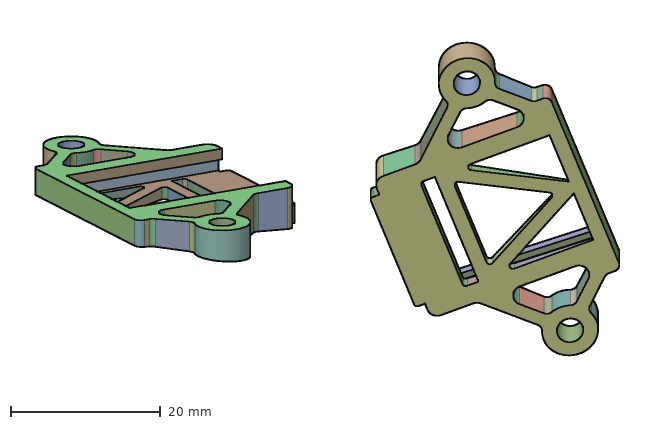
import cadquery as cq
import math

half_width = 23.75
total_length = 27.4
rear_depth = 6.0
front_depth = 3.7
floor_depth = 3.32
lip_thickness = 1.5

rail_half_width = 11.25
rail_end = 26.05
rail_corner_radius = 1.42
base_half_width = 13.95
base_corner_radius = 0.95
base_shoulder_radius = 1.0
rail_shoulder_radius = 1.42

ear_x = 20.0
ear_y = 9.5
ear_radius = half_width - ear_x
ear_hole_radius = 1.75
arm_reach = 21.3
arm_width = 1.9
arm_blend_radius = 1.0
window_corner_radius = 1.42

tray_half_width = 8.35
groove_half_width = 9.3
tongue_half_width = 8.85
wall_thickness = 2.0
tongue_corner_radius = 0.48

opening_half_width = 8.45
opening_corner_radius = 0.48
slot_start = 18.3
slot_end = 20.4
triangle_top = 16.3
triangle_tip = 4.25
strut_width = 1.95
strut_slope = math.tan(math.radians(60))


def prism(points, bottom=-rear_depth, top=0.0):
    """Upright prism over a closed polygon."""
    return cq.Workplane("XY").workplane(offset=bottom).polyline(points).close().extrude(top - bottom)


def block(half_span, y_start, y_end, bottom=-rear_depth, top=0.0):
    """Box centred on X = 0."""
    return prism(
        [(-half_span, y_start), (half_span, y_start), (half_span, y_end), (-half_span, y_end)],
        bottom,
        top,
    )


def round_uprights(solid, radius, places):
    """Fillet the vertical edges that stand at the given (x, y) places."""
    for x, y in places:
        edge = cq.selectors.NearestToPointSelector((x, y, -rear_depth / 2))
        solid = solid.edges("|Z").edges(edge).fillet(radius)
    return solid


def both_sides(x, y):
    return [(-x, y), (x, y)]


def circle_crossing(reach):
    """Point (x, offset from ear_y) where the line x + offset = reach meets the inboard ear circle."""
    half_gap = (reach - ear_x) / 2
    along = math.sqrt(ear_radius**2 / 2 - half_gap**2)
    return ear_x + half_gap - along, half_gap + along


def make_frame():
    arm_rise = arm_reach - rail_half_width
    base_shoulder_y = ear_y - (arm_reach - base_half_width)
    rail_shoulder_y = ear_y + arm_rise
    right_side = [
        (base_half_width, 0),
        (base_half_width, base_shoulder_y),
        (arm_reach, ear_y),
        (rail_half_width, rail_shoulder_y),
        (rail_half_width, rail_end),
    ]
    left_side = [(-x, y) for x, y in reversed(right_side)]
    frame = prism(right_side + left_side)
    frame = round_uprights(frame, base_corner_radius, both_sides(base_half_width, 0))
    frame = round_uprights(frame, base_shoulder_radius, both_sides(base_half_width, base_shoulder_y))
    frame = round_uprights(frame, rail_shoulder_radius, both_sides(rail_half_width, rail_shoulder_y))
    frame = round_uprights(frame, rail_corner_radius, both_sides(rail_half_width, rail_end))

    ears = (
        cq.Workplane("XY")
        .pushPoints(both_sides(ear_x, ear_y))
        .circle(ear_radius)
        .extrude(-rear_depth)
    )
    frame = frame.union(ears)
    blend_x, blend_rise = circle_crossing(arm_reach)
    for y in (ear_y - blend_rise, ear_y + blend_rise):
        frame = round_uprights(frame, arm_blend_radius, both_sides(blend_x, y))
    return frame


def make_arm_windows():
    """Openings bounded by the rails, the arms and the ears."""
    window_reach = arm_reach - arm_width * math.sqrt(2)
    rise = window_reach - rail_half_width
    tip_x, tip_rise = circle_crossing(window_reach)
    windows = cq.Workplane("XY")
    for side in (-1, 1):
        window = prism(
            [
                (side * rail_half_width, ear_y - rise),
                (side * window_reach, ear_y),
                (side * rail_half_width, ear_y + rise),
            ]
        )
        ear = cq.Workplane("XY").center(side * ear_x, ear_y).circle(ear_radius).extrude(-rear_depth)
        window = window.cut(ear)
        for direction in (-1, 1):
            corner = (side * rail_half_width, ear_y + direction * rise)
            tip = (side * tip_x, ear_y + direction * tip_rise)
            window = round_uprights(window, window_corner_radius, [corner])
            window = round_uprights(window, arm_blend_radius, [tip])
        windows = windows.add(window)
    return windows.combine()


def make_ear_holes():
    return (
        cq.Workplane("XY")
        .pushPoints(both_sides(ear_x, ear_y))
        .circle(ear_hole_radius)
        .extrude(-rear_depth)
    )


def make_tongue():
    tongue = block(tongue_half_width, slot_end, total_length, top=-floor_depth)
    return round_uprights(tongue, tongue_corner_radius, both_sides(tongue_half_width, total_length))


def make_tray():
    """Channel between the rails, widened by a groove under each rail lip."""
    channel = block(tray_half_width, wall_thickness, total_length, bottom=-floor_depth)
    grooves = block(
        groove_half_width, wall_thickness, total_length, bottom=-floor_depth, top=-lip_thickness
    )
    return channel.union(grooves)


def make_floor_openings():
    """Cross slot, central triangle and the two side triangles beside the V strut."""
    slot = block(opening_half_width, slot_start, slot_end, top=-floor_depth)
    slot = round_uprights(slot, opening_corner_radius, both_sides(opening_half_width, slot_end))

    triangle_half_width = (triangle_top - triangle_tip) / strut_slope
    triangle_corners = both_sides(triangle_half_width, triangle_top) + [(0, triangle_tip)]
    triangle = prism(triangle_corners, top=-floor_depth)
    triangle = round_uprights(triangle, opening_corner_radius, triangle_corners)

    strut_tip = triangle_tip - strut_width * math.sqrt(1 + strut_slope**2)
    inner_x = (wall_thickness - strut_tip) / strut_slope
    peak_y = strut_tip + opening_half_width * strut_slope
    openings = slot.union(triangle)
    for side in (-1, 1):
        peak = (side * opening_half_width, peak_y)
        side_triangle = prism(
            [(side * inner_x, wall_thickness), (side * opening_half_width, wall_thickness), peak],
            top=-floor_depth,
        )
        openings = openings.union(round_uprights(side_triangle, opening_corner_radius, [peak]))
    return openings


def make_underside():
    """Wedge below the sloping bottom face."""
    return (
        cq.Workplane("YZ")
        .polyline([(0, -front_depth), (total_length, -rear_depth), (0, -rear_depth)])
        .close()
        .extrude(half_width, both=True)
    )


result = (
    make_frame()
    .cut(make_arm_windows())
    .cut(make_ear_holes())
    .cut(make_tray())
    .union(make_tongue())
    .cut(make_floor_openings())
    .cut(make_underside())
)